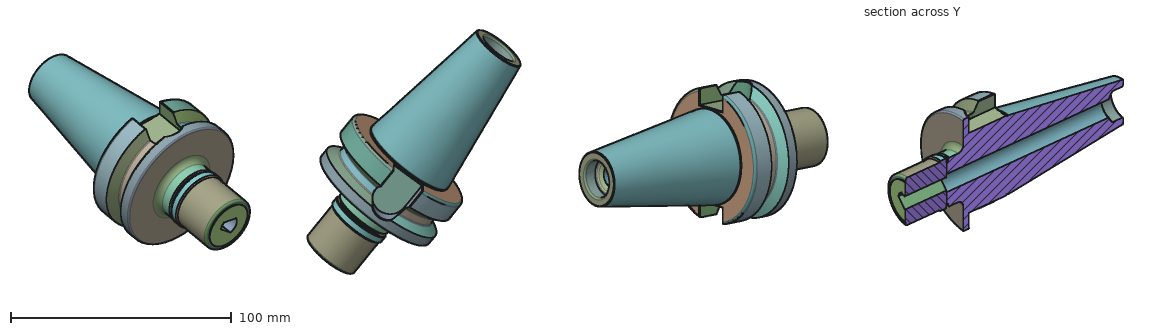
import cadquery as cq
import math

TOLERANCE = 0.01

TOTAL_LENGTH = 125.8
TAPER_LENGTH = 65.8
FLANGE_START = 67.2
FLANGE_END = 92.3
NECK_END = 100.9
SLEEVE_START = 101.9

TAPER_LARGE_RADIUS = 22.3
TAPER_SLOPE = 7 / 48
TAPER_TIP_CHAMFER = 0.4
RELIEF_RADIUS = 22.0
RELIEF_WIDTH = 0.8

FLANGE_RADIUS = 63.0 / 2
FLANGE_FRONT_FILLET = 1.3
FLANGE_BACK_FILLET = 0.8
GROOVE_RADIUS = 26.4
GROOVE_CENTRE = 82.0
GROOVE_FLOOR_WIDTH = 4.2
GROOVE_FILLET = 0.6
GROOVE_WALL_ANGLE = 30.0

SLOT_WIDTH = 16.1
SLOT_END = 88.8
SLOT_FLOOR = 22.5
SLOT_EDGE_CHAMFER = 0.4

NECK_RADIUS = 13.8
NECK_FILLET = 3.0
NECK_CHAMFER = 0.6
GAP_RADIUS = 12.0

MOUTH_FILLET = 0.9
COUNTERBORE_RADIUS = 8.5
COUNTERBORE_DEPTH = 6.3
LEAD_IN_ENDS = [(6.7, 7.8), (7.2, 7.0)]
BORE_RADIUS = 10.0 / 2
DRILL_HALF_ANGLE = 59.0

SLEEVE_RADIUS = 27.0 / 2
COLLAR_RADIUS = 14.2
COLLAR_END = 105.3
COLLAR_FRONT_CHAMFER = 0.4
SLEEVE_FILLET = 1.1
END_BOSS_RADIUS = 11.3
END_BOSS_HEIGHT = 0.4
SLEEVE_BORE_RADIUS = 4.8
BORE_FLATS = [(14.0, 3.1), (-135.0, 2.8)]


def revolve_about_x(profile):
    """Turn a closed profile, drawn as (x, radius), a full turn about the X axis."""
    return profile.close().revolve(360, (0, 0, 0), (1, 0, 0))


def taper_and_flange():
    tip_radius = TAPER_LARGE_RADIUS - TAPER_LENGTH * TAPER_SLOPE
    wall_run = (FLANGE_RADIUS - GROOVE_RADIUS) * math.tan(math.radians(GROOVE_WALL_ANGLE))
    floor_start = GROOVE_CENTRE - GROOVE_FLOOR_WIDTH / 2
    floor_end = GROOVE_CENTRE + GROOVE_FLOOR_WIDTH / 2
    relief_start = FLANGE_START - RELIEF_WIDTH
    profile = (
        cq.Workplane("XZ")
        .moveTo(0, 0)
        .lineTo(0, tip_radius - TAPER_TIP_CHAMFER)
        .lineTo(TAPER_TIP_CHAMFER, tip_radius + TAPER_TIP_CHAMFER * TAPER_SLOPE)
        .lineTo(TAPER_LENGTH, TAPER_LARGE_RADIUS)
        .lineTo(relief_start, TAPER_LARGE_RADIUS)
        .lineTo(relief_start, RELIEF_RADIUS)
        .lineTo(FLANGE_START, RELIEF_RADIUS)
        .lineTo(FLANGE_START, FLANGE_RADIUS - FLANGE_FRONT_FILLET)
        .radiusArc((FLANGE_START + FLANGE_FRONT_FILLET, FLANGE_RADIUS), FLANGE_FRONT_FILLET)
        .lineTo(floor_start - wall_run, FLANGE_RADIUS)
        .lineTo(floor_start, GROOVE_RADIUS)
        .lineTo(floor_end, GROOVE_RADIUS)
        .lineTo(floor_end + wall_run, FLANGE_RADIUS)
        .lineTo(FLANGE_END - FLANGE_BACK_FILLET, FLANGE_RADIUS)
        .radiusArc((FLANGE_END, FLANGE_RADIUS - FLANGE_BACK_FILLET), FLANGE_BACK_FILLET)
        .lineTo(FLANGE_END, NECK_RADIUS + NECK_FILLET)
        .radiusArc((FLANGE_END + NECK_FILLET, NECK_RADIUS), -NECK_FILLET)
        .lineTo(NECK_END - NECK_CHAMFER, NECK_RADIUS)
        .lineTo(NECK_END, NECK_RADIUS - NECK_CHAMFER)
        .lineTo(NECK_END, GAP_RADIUS)
        .lineTo(SLEEVE_START, GAP_RADIUS)
        .lineTo(SLEEVE_START, 0)
    )
    body = revolve_about_x(profile)
    floor_corners = body.edges("%CIRCLE").filter(
        lambda edge: abs(edge.radius() - GROOVE_RADIUS) < TOLERANCE
    )
    return floor_corners.fillet(GROOVE_FILLET)


def holder_bore():
    drill_slope = math.tan(math.radians(DRILL_HALF_ANGLE))
    cone_start, cone_radius = LEAD_IN_ENDS[-1]
    cone_end = cone_start + (cone_radius - BORE_RADIUS) / drill_slope
    profile = (
        cq.Workplane("XZ")
        .moveTo(0, 0)
        .lineTo(0, COUNTERBORE_RADIUS + MOUTH_FILLET)
        .radiusArc((MOUTH_FILLET, COUNTERBORE_RADIUS), -MOUTH_FILLET)
        .lineTo(COUNTERBORE_DEPTH, COUNTERBORE_RADIUS)
        .polyline(LEAD_IN_ENDS, includeCurrent=True)
        .lineTo(cone_end, BORE_RADIUS)
        .lineTo(SLEEVE_START, BORE_RADIUS)
        .lineTo(SLEEVE_START, 0)
    )
    return revolve_about_x(profile)


def drive_slot():
    """Round-ended cutter for the slot on the +Z side of the flange."""
    half_width = SLOT_WIDTH / 2
    round_centre = SLOT_END - half_width
    return (
        cq.Workplane("XY", origin=(0, 0, SLOT_FLOOR))
        .moveTo(FLANGE_START - RELIEF_WIDTH, -half_width)
        .lineTo(round_centre, -half_width)
        .threePointArc((SLOT_END, 0), (round_centre, half_width))
        .lineTo(FLANGE_START - RELIEF_WIDTH, half_width)
        .close()
        .extrude(FLANGE_RADIUS)
    )


def on_slot_wall(point):
    """True for a point on the straight or the round part of either slot's wall."""
    half_width = SLOT_WIDTH / 2
    past_straight = max(0, point.x - (SLOT_END - half_width))
    return abs(math.hypot(past_straight, point.y) - half_width) < TOLERANCE


def is_slot_rim(edge):
    """True for slot edges on the outside of the flange and on its front face."""
    points = [edge.startPoint(), edge.positionAt(0.5), edge.endPoint()]
    in_front_face = all(abs(point.x - FLANGE_START) < TOLERANCE for point in points)
    if in_front_face and edge.geomType() == "LINE":
        return True
    rim_radius = FLANGE_RADIUS - FLANGE_FRONT_FILLET - TOLERANCE
    return all(on_slot_wall(point) and math.hypot(point.y, point.z) > rim_radius for point in points)


def make_holder():
    holder = taper_and_flange().cut(holder_bore())
    slot = drive_slot()
    for side_angle in (0, 180):
        holder = holder.cut(slot.rotate((0, 0, 0), (1, 0, 0), side_angle))
    return holder.edges().filter(is_slot_rim).chamfer(SLOT_EDGE_CHAMFER)


def sleeve_bore():
    """Round bore cut back by flats, each standing across the hole at its own angle."""
    length = TOTAL_LENGTH - SLEEVE_START
    start = cq.Workplane("YZ", origin=(SLEEVE_START, 0, 0))
    bore = start.circle(SLEEVE_BORE_RADIUS).extrude(length)
    for angle, distance in BORE_FLATS:
        block = (
            start.center(0, distance + SLEEVE_BORE_RADIUS / 2)
            .rect(2 * SLEEVE_BORE_RADIUS, SLEEVE_BORE_RADIUS)
            .extrude(length)
        )
        bore = bore.cut(block.rotate((0, 0, 0), (1, 0, 0), -angle))
    return bore


def make_sleeve():
    end_face = TOTAL_LENGTH - END_BOSS_HEIGHT
    profile = (
        cq.Workplane("XZ")
        .moveTo(SLEEVE_START, 0)
        .lineTo(SLEEVE_START, COLLAR_RADIUS - COLLAR_FRONT_CHAMFER)
        .lineTo(SLEEVE_START + COLLAR_FRONT_CHAMFER, COLLAR_RADIUS)
        .lineTo(COLLAR_END, COLLAR_RADIUS)
        .lineTo(COLLAR_END + COLLAR_RADIUS - SLEEVE_RADIUS, SLEEVE_RADIUS)
        .lineTo(end_face - SLEEVE_FILLET, SLEEVE_RADIUS)
        .radiusArc((end_face, SLEEVE_RADIUS - SLEEVE_FILLET), SLEEVE_FILLET)
        .lineTo(end_face, END_BOSS_RADIUS)
        .lineTo(TOTAL_LENGTH, END_BOSS_RADIUS)
        .lineTo(TOTAL_LENGTH, 0)
    )
    return revolve_about_x(profile).cut(sleeve_bore())


holder = make_holder()
sleeve = make_sleeve()

result = cq.Compound.makeCompound([holder.val(), sleeve.val()])